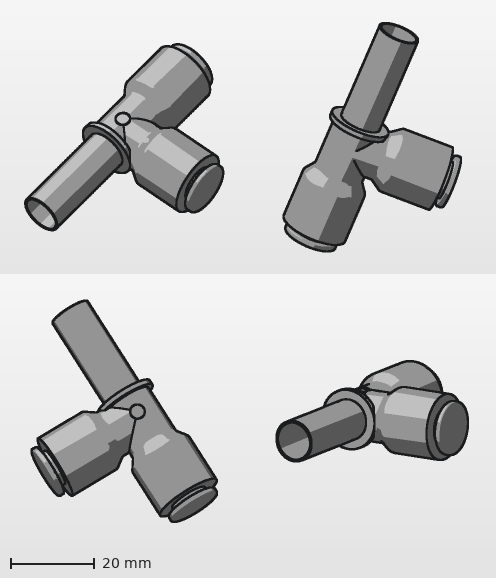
import cadquery as cq

overall_length = 56.5
overall_width = 33.9
socket_radius = 16.0 / 2
arm_length = overall_width - socket_radius
stem_reach = overall_length - arm_length

neck_radius = 6.1
cone_start = 7.8
cone_end = 10.5
socket_end = 23.1
cone_foot_blend = 0.85
cone_rim_blend = 1.0

collar_radius = 4.65
collar_flange_radius = 6.5
collar_flange_thickness = 1.45
collar_edge_radius = 0.35

ring_radius = 7.3
ring_start = 4.8
ring_thickness = 1.35
stem_radius = 5.0
bore_radius = 4.5

mark_radius = 1.75
mark_floor = 5.8


def cylinder_y(radius, start, end):
    """Cylinder about the Y axis between two Y positions."""
    return cq.Workplane("XZ", origin=(0, start, 0)).circle(radius).extrude(start - end)


def circle_at(y):
    """Selector for the edges lying in the plane at one Y position."""
    reach = overall_length
    margin = 0.05
    return cq.selectors.BoxSelector(
        (-reach, y - margin, -reach), (reach, y + margin, reach), boundingbox=True
    )


def make_arm():
    """Neck, flared socket and release collar, pointing along +Y."""
    body = (
        cq.Workplane("XY")
        .lineTo(neck_radius, 0)
        .lineTo(neck_radius, cone_start)
        .lineTo(socket_radius, cone_end)
        .lineTo(socket_radius, socket_end)
        .lineTo(0, socket_end)
        .close()
        .revolve(360, (0, 0, 0), (0, 1, 0))
    )
    body = body.edges(circle_at(cone_start)).fillet(cone_foot_blend)
    body = body.edges(circle_at(cone_end)).fillet(cone_rim_blend)

    flange = cylinder_y(collar_flange_radius, arm_length - collar_flange_thickness, arm_length)
    flange = flange.edges("%CIRCLE").fillet(collar_edge_radius)
    collar = cylinder_y(collar_radius, socket_end, arm_length - collar_flange_thickness)
    return body.union(collar).union(flange)


def make_stem():
    """Lower run with its stop ring and the plug-in stem before boring."""
    ring_end = ring_start + ring_thickness
    run = cylinder_y(neck_radius, 0, -ring_start)
    ring = cylinder_y(ring_radius, -ring_start, -ring_end)
    stem = cylinder_y(stem_radius, -ring_end, -stem_reach)
    return run.union(ring).union(stem)


run_arm = make_arm()
branch_arm = run_arm.rotate((0, 0, 0), (0, 0, 1), -90)
stem_bore = cylinder_y(bore_radius, -ring_start - ring_thickness, -stem_reach)
mark_recess = (
    cq.Workplane("XY", origin=(0, 0, mark_floor))
    .circle(mark_radius)
    .extrude(neck_radius)
)

result = run_arm.union(branch_arm).union(make_stem()).cut(stem_bore).cut(mark_recess)